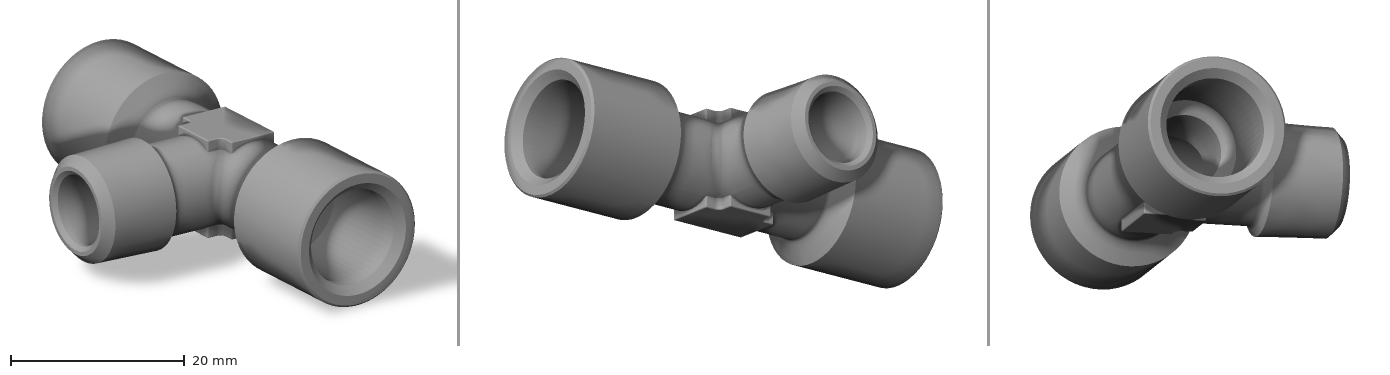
import cadquery as cq
import math

run_length = 52.0
overall_width = 29.75
socket_radius = 16.5 / 2
half_run = run_length / 2
branch_length = overall_width - socket_radius

tube_radius = 5.5
bore_radius = 4.25

socket_length = 13.05
socket_cone_length = 1.6
socket_neck_fillet = 0.35
socket_rim_chamfer = 0.25
socket_bore_radius = 5.8
socket_mouth_chamfer = 1.0
socket_floor_angle = 30.0

male_length = 9.5
male_gauge_radius = 13.15 / 2
male_gauge_distance = 6.0
male_taper = 1 / 32
male_tip_chamfer = 1.15
male_mouth_chamfer = 0.5
collar_cone_length = 0.7
collar_fillet = 0.55

pad_height = 6.05
pad_reach = 5.0
pad_half_width = 3.0
pad_edge_round = 0.15
junction_fillet = 0.7

tolerance = 0.005


def in_crotch(edge):
    """True for edges on the two 45 degree planes where run and branch meet."""
    middle = edge.Center()
    on_diagonal = abs(abs(middle.x) + middle.y) < tolerance
    return on_diagonal and middle.y < -pad_half_width + tolerance


def on_pad_rim(edge):
    """True for edges bounding the flat faces of the pads."""
    return abs(abs(edge.Center().z) - pad_height) < tolerance


def revolve_about_x(points):
    return cq.Workplane("XY").polyline(points).close().revolve(360, (0, 0, 0), (1, 0, 0))


def revolve_about_y(points):
    return cq.Workplane("XY").polyline(points).close().revolve(360, (0, 0, 0), (0, 1, 0))


def make_run():
    """Solid tube along X, widening through a cone to a socket at each end."""
    shoulder = half_run - socket_length
    cone_foot = shoulder - socket_cone_length
    right_profile = [
        (cone_foot, tube_radius),
        (shoulder, socket_radius),
        (half_run - socket_rim_chamfer, socket_radius),
        (half_run, socket_radius - socket_rim_chamfer),
        (half_run, 0),
    ]
    left_profile = [(-x, radius) for x, radius in reversed(right_profile)]
    run = revolve_about_x(left_profile + right_profile)

    def at_cone_foot(edge):
        return abs(abs(edge.Center().x) - cone_foot) < tolerance

    return run.edges("%CIRCLE").filter(at_cone_foot).fillet(socket_neck_fillet)


def make_branch():
    """Solid tube along -Y, widening through a collar to the tapered male end."""
    collar = branch_length - male_length
    cone_foot = collar - collar_cone_length
    chamfer_start = branch_length - male_tip_chamfer
    root_radius = male_gauge_radius + male_taper * (male_length - male_gauge_distance)
    tip_radius = male_gauge_radius - male_taper * (male_gauge_distance - male_tip_chamfer)
    branch = revolve_about_y([
        (0, 0),
        (tube_radius, 0),
        (tube_radius, -cone_foot),
        (root_radius, -collar),
        (tip_radius, -chamfer_start),
        (tip_radius - male_tip_chamfer, -branch_length),
        (0, -branch_length),
    ])

    def at_cone_foot(edge):
        return abs(edge.Center().y + cone_foot) < tolerance

    return branch.edges("%CIRCLE").filter(at_cone_foot).fillet(collar_fillet)


def make_pads():
    """T-shaped block whose top and bottom form the pads, outer corners rounded."""
    right_outline = [
        (pad_half_width, -pad_reach),
        (pad_half_width, -pad_half_width),
        (pad_reach, -pad_half_width),
        (pad_reach, pad_half_width),
    ]
    left_outline = [(-x, y) for x, y in reversed(right_outline)]
    outline = cq.Workplane("XY").polyline(right_outline + left_outline).close()
    block = outline.extrude(pad_height, both=True)
    return block.edges("|Z").filter(lambda edge: not in_crotch(edge)).fillet(pad_edge_round)


def make_socket_bore():
    """Chamfered bore with a conical floor, for the +X socket."""
    floor = half_run - socket_length
    floor_depth = (socket_bore_radius - bore_radius) * math.tan(math.radians(socket_floor_angle))
    return revolve_about_x([
        (floor - floor_depth, 0),
        (floor - floor_depth, bore_radius),
        (floor, socket_bore_radius),
        (half_run - socket_mouth_chamfer, socket_bore_radius),
        (half_run, socket_bore_radius + socket_mouth_chamfer),
        (half_run, 0),
    ])


def make_branch_bore():
    """Bore from the run axis out to the chamfered mouth of the branch."""
    return revolve_about_y([
        (0, 0),
        (bore_radius, 0),
        (bore_radius, male_mouth_chamfer - branch_length),
        (bore_radius + male_mouth_chamfer, -branch_length),
        (0, -branch_length),
    ])


body = make_run().union(make_branch()).union(make_pads())
body = body.edges().filter(in_crotch).fillet(junction_fillet)
body = body.edges().filter(on_pad_rim).fillet(pad_edge_round)

run_bore = cq.Workplane("YZ").circle(bore_radius).extrude(half_run, both=True)
socket_bore = make_socket_bore()
result = (
    body.cut(run_bore)
    .cut(socket_bore)
    .cut(socket_bore.mirror("YZ"))
    .cut(make_branch_bore())
)